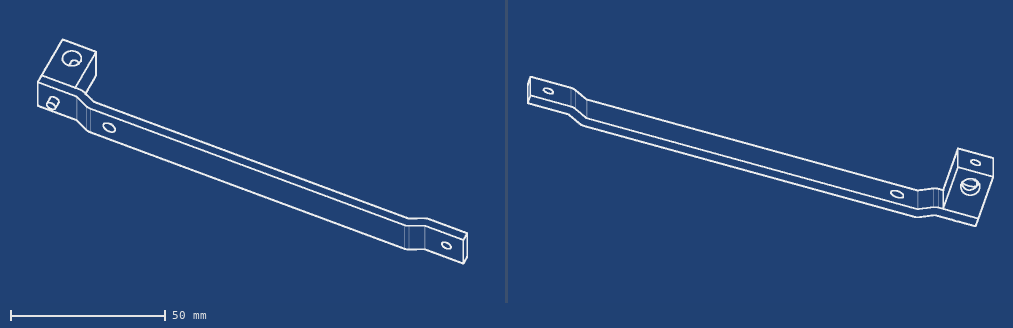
import cadquery as cq
import math

length = 152.0
height = 12.8
mid_z = height / 2

thickness = 3.0
joggle = 2.6
bend_angle = math.radians(26)
bend_start = 13.8
bend_radius = 0.5
end_hole_inset = 6.1
end_hole_diameter = 3.2
side_hole_x = 26.8
side_hole_diameter = 4.3

block_width = 12.0
block_depth = 16.1
cross_hole_diameter = 6.1
cross_hole_inset = 5.8

pin_x = block_width / 2
pin_diameter = 3.2
flange_diameter = 6.1
flare_radius = (flange_diameter - pin_diameter) / 2
block_back_y = thickness + block_depth
flange_y = block_back_y - 7.3


def rod(diameter, y_start, y_end, x=pin_x):
    """Cylinder along Y at mid height."""
    plane = cq.Workplane("XZ", origin=(x, y_start, mid_z))
    return plane.circle(diameter / 2).extrude(y_start - y_end)


def make_strap():
    """Flat bar with a joggle near each end."""
    ramp_run = joggle / math.tan(bend_angle)
    miter_shift = thickness * math.tan(bend_angle / 2)
    front = [(bend_start, 0), (bend_start + ramp_run, -joggle)]
    back = [(x + miter_shift, y + thickness) for x, y in front]

    def mirrored(points):
        return [(length - x, y) for x, y in reversed(points)]

    front_line = [(0, 0), *front, *mirrored(front), (length, 0)]
    back_line = [(0, thickness), *back, *mirrored(back), (length, thickness)]
    strap = cq.Workplane("XY").polyline(front_line + back_line[::-1]).close().extrude(height)

    inside = [front[0], back[1]]
    outside = [back[0], front[1]]
    for corners, radius in ((inside, bend_radius), (outside, bend_radius + thickness)):
        for x, y in corners + mirrored(corners):
            strap = strap.edges(cq.NearestToPointSelector((x, y, mid_z))).fillet(radius)

    holes = (
        (pin_x, pin_diameter),
        (side_hole_x, side_hole_diameter),
        (length - end_hole_inset, end_hole_diameter),
    )
    for x, diameter in holes:
        strap = strap.cut(rod(diameter, -joggle, thickness, x))
    return strap


def make_pin():
    """Straight pin whose flange flares out in a concave curve."""
    pin_radius = pin_diameter / 2
    flange_radius = flange_diameter / 2
    flare_end = flange_y + flare_radius
    arc_offset = flare_radius * (1 - math.sqrt(0.5))
    return (
        cq.Workplane("XY")
        .moveTo(0, -joggle)
        .lineTo(pin_radius, -joggle)
        .lineTo(pin_radius, flange_y)
        .lineTo(flange_radius, flange_y)
        .threePointArc((pin_radius + arc_offset, flange_y + arc_offset), (pin_radius, flare_end))
        .lineTo(pin_radius, block_back_y)
        .lineTo(0, block_back_y)
        .close()
        .revolve(360, (0, 0, 0), (0, 1, 0))
        .translate((pin_x, 0, mid_z))
    )


def make_sleeve():
    """Plain ring around the pin, between the strap and the flange."""
    sleeve = rod(flange_diameter, thickness, flange_y)
    return sleeve.cut(rod(pin_diameter, thickness, flange_y))


def make_block(inserts):
    """Block with a vertical cross hole and a stepped bore that fits the inserts."""
    block = cq.Workplane("XY").box(block_width, block_depth, height, centered=False)
    block = block.translate((0, thickness, 0))
    cross_hole_y = block_back_y - cross_hole_inset
    cross_hole = cq.Workplane("XY").center(pin_x, cross_hole_y).circle(cross_hole_diameter / 2)
    block = block.cut(cross_hole.extrude(height))
    for insert in inserts:
        block = block.cut(insert)
    return block


strap = make_strap()
pin = make_pin()
sleeve = make_sleeve()
block = make_block([pin, sleeve])

result = cq.Compound.makeCompound([strap.val(), block.val(), pin.val(), sleeve.val()])